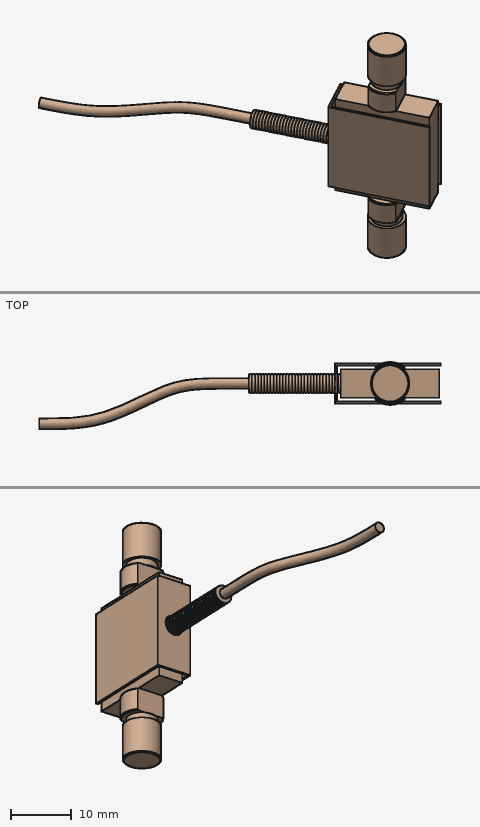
import cadquery as cq
import math


block_width = 16.26
block_thickness = 4.75
block_height = 19.05

overall_height = 42.42
cap_diameter = 6.35
cap_length = 6.35
cap_chamfer = 0.2
neck_diameter = 5.24
collar_diameter = 7.11
collar_length = 4.1
collar_across_flats = 4.8
collar_chamfer = 0.2

bracket_left = -9.1
bracket_right = 8.38
bracket_width = 6.6
bracket_height = 16.5
bracket_sheet = 0.4
bracket_hole_diameter = 3.45

relief_left = -23.24
relief_crest_diameter = 3.17
rib_pitch = 0.508
relief_root_diameter = relief_crest_diameter - rib_pitch

overall_length = 66.16
cable_diameter = 1.8
cable_tip_y = -6.66
lower_bend_point = (-47.2, -5.65)
upper_bend_point = (-37.3, -1.4)

block_left = -block_width / 2
block_top = block_height / 2
cable_left = bracket_right - overall_length


def make_connector():
    """Connector standing on the +Z end of the block."""
    connector_top = overall_height / 2
    cap_bottom = connector_top - cap_length
    collar_top = block_top + collar_length

    collar = (
        cq.Workplane("XY", origin=(0, 0, block_top))
        .circle(collar_diameter / 2)
        .extrude(collar_length)
        .edges()
        .chamfer(collar_chamfer)
    )
    flats = cq.Workplane("XY", origin=(0, 0, block_top)).rect(collar_across_flats, collar_diameter)
    collar = collar.intersect(flats.extrude(collar_length))

    neck = (
        cq.Workplane("XY", origin=(0, 0, collar_top))
        .circle(neck_diameter / 2)
        .extrude(cap_bottom - collar_top)
    )
    cap = (
        cq.Workplane("XY", origin=(0, 0, cap_bottom))
        .circle(cap_diameter / 2)
        .extrude(cap_length)
        .faces(">Z")
        .chamfer(cap_chamfer)
    )
    return collar.union(neck).union(cap)


def make_module():
    """Block with a connector on its top and bottom ends."""
    block = cq.Workplane("XY").box(block_width, block_thickness, block_height)
    connector = make_connector()
    return block.union(connector).union(connector.mirror("XY"))


def make_bracket():
    """Sheet channel around the block, with a clearance hole for the strain relief."""
    inner_left = bracket_left + bracket_sheet
    outer_half = bracket_width / 2
    inner_half = outer_half - bracket_sheet
    channel = (
        cq.Workplane("XY", origin=(0, 0, -bracket_height / 2))
        .moveTo(bracket_left, -outer_half)
        .lineTo(bracket_right, -outer_half)
        .lineTo(bracket_right, -inner_half)
        .lineTo(inner_left, -inner_half)
        .lineTo(inner_left, inner_half)
        .lineTo(bracket_right, inner_half)
        .lineTo(bracket_right, outer_half)
        .lineTo(bracket_left, outer_half)
        .close()
        .extrude(bracket_height)
    )
    hole = (
        cq.Workplane("YZ", origin=(bracket_left, 0, 0))
        .circle(bracket_hole_diameter / 2)
        .extrude(bracket_sheet)
    )
    return channel.cut(hole)


def make_strain_relief():
    """Sleeve of half-round ribs; the last rib is trimmed flush with the block."""
    crest = relief_crest_diameter / 2
    root = relief_root_diameter / 2
    rib_count = math.ceil((block_left - relief_left) / rib_pitch)
    relief_right = relief_left + rib_count * rib_pitch
    profile = cq.Workplane("XY").moveTo(relief_left, 0).lineTo(relief_left, root)
    for rib in range(rib_count):
        rib_left = relief_left + rib * rib_pitch
        profile = profile.threePointArc((rib_left + rib_pitch / 2, crest), (rib_left + rib_pitch, root))
    relief = profile.lineTo(relief_right, 0).close().revolve(360, (0, 0, 0), (1, 0, 0))
    block_side = cq.Workplane("YZ", origin=(block_left, 0, 0)).rect(block_thickness, block_height)
    return relief.cut(block_side.extrude(rib_pitch))


def make_cable():
    """Round cable swept along a smooth S-bend in the XY plane, then straight through the relief."""
    cable_tip = (cable_left, cable_tip_y)
    path = (
        cq.Workplane("XY")
        .spline(
            [cable_tip, lower_bend_point, upper_bend_point, (relief_left, 0)],
            tangents=[(1, 0), (1, 0)],
        )
        .lineTo(block_left, 0)
    )
    return (
        cq.Workplane("YZ", origin=(cable_left, cable_tip_y, 0))
        .circle(cable_diameter / 2)
        .sweep(path)
    )


module = make_module()
bracket = make_bracket()
relieved_cable = make_cable().union(make_strain_relief())

bodies = (module, bracket, relieved_cable)
result = cq.Compound.makeCompound([body.solids().val() for body in bodies])